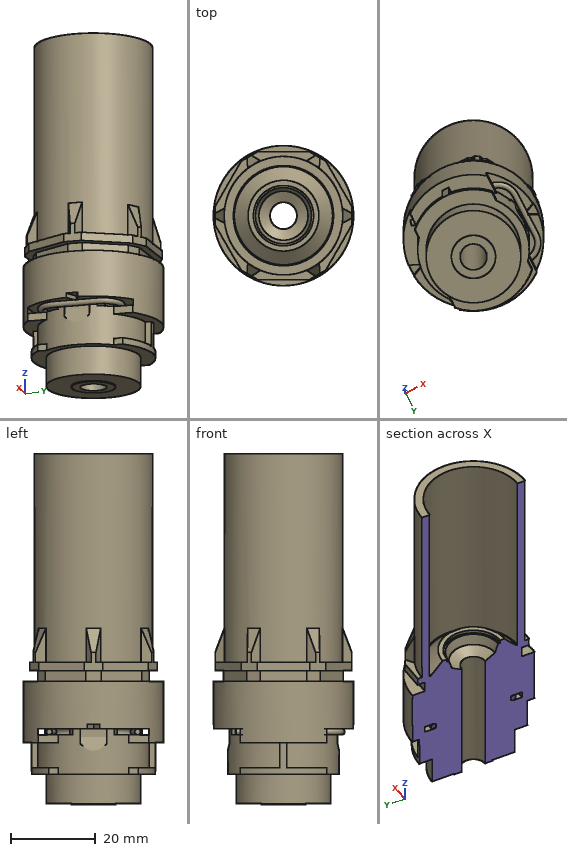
import cadquery as cq
import math

NOSE_Z = 0.25
BODY_Z = 7.1
FLANGE_TOP_Z = 8.7
LIP_Z = 14.6
SLOT_Z = 16.4
COLLAR_Z = 17.85
NECK_Z = 29.0
HEX_Z = 31.55
TUBE_Z = 33.5
TOP_Z = 82.6

PAD_R = 5.2
NOSE_R = 11.15
BODY_R = 13.1
FLANGE_R = 14.6
COLLAR_R = 16.5
TUBE_R = 14.0
TUBE_BORE_R = 11.8

NECK_FLAT, NECK_CORNER = 13.1, 14.1
HEX_FLAT, HEX_CORNER = 15.0, 16.1

SIDE_HALF_WIDTH = 10.2
RIB_WIDTH = 1.65

FIN_COUNT = 6
FIN_ROOT_WIDTH = 3.4
FIN_TIP_WIDTH = 1.15
FIN_SHOULDER_Z = 35.85
FIN_TOP_Z = 41.5

BORE_FLOOR_Z = 33.0
CONE_BASE_R = 11.6
CONE_TOP_R = 8.35
CONE_TOP_Z = 36.35
MOUTH_R = 7.1
MOUTH_DEPTH = 0.8
STEP_R = 6.6
FUNNEL_R = 5.8
FUNNEL_DEPTH = 2.5
FUNNEL_TIP_DEPTH = 1.5
HOLE_R = 3.1

POCKET_WIDTH = 6.2
POCKET_FLAT_X = 12.4
POCKET_FLAT_Z = 15.95
POCKET_END_Z = 12.7
NOTCH_WIDTH = 2.9
NOTCH_DEPTH = 3.3
NOTCH_TOP_Z = 18.9

WIRE_R = (COLLAR_Z - SLOT_Z) / 2
WIRE_Z = (COLLAR_Z + SLOT_Z) / 2
CLIP_R = 10.8
CLIP_ARC_HALF_ANGLE = math.radians(26)
CLIP_FLARE_ANGLE = math.radians(12)
CLIP_WAIST_R = 3.3
CLIP_TIP_X = 11.2
CLIP_BEND_X = 8.3
CLIP_BAR_X = 13.7
SLOT_HALF_WIDTH = 13.05
SLOT_END_OUTER_Y = 4.9
SLOT_END_INNER_Y = 5.6

OVERSHOOT = 0.8


def cylinder(radius, bottom, top):
    return cq.Workplane("XY", origin=(0, 0, bottom)).circle(radius).extrude(top - bottom)


def box(x_size, y_size, bottom, top):
    return cq.Workplane("XY", origin=(0, 0, bottom)).rect(x_size, y_size).extrude(top - bottom)


def hexagon(flat, bottom, top, start_angle):
    corner_radius = flat / math.cos(math.radians(30))
    shape = cq.Workplane("XY", origin=(0, 0, bottom)).polygon(6, 2 * corner_radius)
    return shape.extrude(top - bottom).rotate((0, 0, 0), (0, 0, 1), start_angle)


def cut_corner_hexagon(flat, corner, bottom, top):
    """Hexagon with flats on +Y and -Y, its corners cut by a hexagon turned 30 degrees."""
    return hexagon(flat, bottom, top, 0).intersect(hexagon(corner, bottom, top, 30))


def side_segments(radius, bottom, top):
    """Disc cut off at +X and -X."""
    return cylinder(radius, bottom, top).intersect(
        box(2 * SIDE_HALF_WIDTH, 2 * COLLAR_R + OVERSHOOT, bottom, top)
    )


def make_fin():
    """Tapered fin on the +X side with a sloped outer face."""
    root = FIN_ROOT_WIDTH / 2
    tip = FIN_TIP_WIDTH / 2
    buried_r = TUBE_BORE_R + OVERSHOOT
    plan = [(buried_r, -root), (TUBE_R, -root), (HEX_CORNER, -tip)]
    plan += [(x, -y) for x, y in reversed(plan)]
    fin = cq.Workplane("XY", origin=(0, 0, HEX_Z)).polyline(plan).close().extrude(FIN_TOP_Z - HEX_Z)
    side = [
        (buried_r, HEX_Z),
        (HEX_CORNER, HEX_Z),
        (HEX_CORNER, FIN_SHOULDER_Z),
        (TUBE_R, FIN_TOP_Z),
        (buried_r, FIN_TOP_Z),
    ]
    envelope = cq.Workplane("XZ").polyline(side).close().extrude(FIN_ROOT_WIDTH, both=True)
    return fin.intersect(envelope)


def make_inside():
    """Space inside the tube, around the raised cone and through the funnel to the hole."""
    mouth_floor_z = CONE_TOP_Z - MOUTH_DEPTH
    funnel_z = mouth_floor_z - FUNNEL_DEPTH
    hole_z = funnel_z - FUNNEL_TIP_DEPTH
    outline = [
        (0, -OVERSHOOT),
        (HOLE_R, -OVERSHOOT),
        (HOLE_R, hole_z),
        (FUNNEL_R, funnel_z),
        (STEP_R, mouth_floor_z),
        (MOUTH_R, mouth_floor_z),
        (MOUTH_R, CONE_TOP_Z),
        (CONE_TOP_R, CONE_TOP_Z),
        (CONE_BASE_R, BORE_FLOOR_Z),
        (TUBE_BORE_R, BORE_FLOOR_Z),
        (TUBE_BORE_R, TOP_Z + OVERSHOOT),
        (0, TOP_Z + OVERSHOOT),
    ]
    return cq.Workplane("XZ").polyline(outline).close().revolve(360, (0, 0, 0), (0, 1, 0))


def make_pocket():
    """Latch pocket on the +X side: an upright flat that runs out along a slope."""
    outer_x = BODY_R + OVERSHOOT
    outline = [
        (POCKET_FLAT_X, COLLAR_Z),
        (POCKET_FLAT_X, POCKET_FLAT_Z),
        (BODY_R, POCKET_END_Z),
        (outer_x, POCKET_END_Z),
        (outer_x, COLLAR_Z),
    ]
    return cq.Workplane("XZ").polyline(outline).close().extrude(POCKET_WIDTH / 2, both=True)


def make_notch():
    """V-shaped notch in the bottom edge of the collar on the +X side."""
    half = NOTCH_WIDTH / 2
    rim_x = math.sqrt(COLLAR_R**2 - half**2)
    outer_x = COLLAR_R + OVERSHOOT
    outline = [(COLLAR_R - NOTCH_DEPTH, 0), (rim_x, half), (outer_x, half), (outer_x, -half), (rim_x, -half)]
    notch = cq.Workplane("XY", origin=(0, 0, COLLAR_Z)).polyline(outline).close()
    return notch.extrude(NOTCH_TOP_Z - COLLAR_Z)


def make_slot():
    """Slot below the collar, leaving a core with a rounded groove floor and two end webs."""
    slot = box(2 * COLLAR_R + OVERSHOOT, 2 * SLOT_HALF_WIDTH, SLOT_Z, COLLAR_Z)
    core = cylinder(CLIP_R, SLOT_Z, COLLAR_Z)
    groove = cq.Workplane("XZ").center(CLIP_R, WIRE_Z).circle(WIRE_R)
    core = core.cut(groove.revolve(360, (-CLIP_R, 0, 0), (-CLIP_R, 1, 0)))

    outer_x = math.sqrt(BODY_R**2 - SLOT_END_OUTER_Y**2)
    inner_x = math.sqrt((CLIP_R - WIRE_R) ** 2 - SLOT_END_INNER_Y**2)
    half = [
        (0, SLOT_END_INNER_Y),
        (inner_x, SLOT_END_INNER_Y),
        (outer_x, SLOT_END_OUTER_Y),
        (COLLAR_R, SLOT_END_OUTER_Y),
    ]
    half += [(x, -y) for x, y in reversed(half)]
    web = cq.Workplane("XY", origin=(0, 0, SLOT_Z)).polyline(half).close().extrude(COLLAR_Z - SLOT_Z)
    webs = web.union(web.mirror("YZ")).intersect(cylinder(BODY_R, SLOT_Z, COLLAR_Z))
    return slot.cut(core).cut(webs)


def make_housing():
    housing = cylinder(PAD_R, 0, NOSE_Z)
    housing = housing.union(cylinder(NOSE_R, NOSE_Z, BODY_Z))
    housing = housing.union(cylinder(BODY_R, BODY_Z, COLLAR_Z))
    housing = housing.union(cylinder(COLLAR_R, COLLAR_Z, NECK_Z))
    housing = housing.union(cut_corner_hexagon(NECK_FLAT, NECK_CORNER, NECK_Z, HEX_Z))
    housing = housing.union(cut_corner_hexagon(HEX_FLAT, HEX_CORNER, HEX_Z, TUBE_Z))
    housing = housing.union(cylinder(TUBE_R, TUBE_Z, TOP_Z))

    rib = cylinder(FLANGE_R, BODY_Z, LIP_Z).intersect(box(RIB_WIDTH, 2 * COLLAR_R, BODY_Z, LIP_Z))
    housing = housing.union(side_segments(FLANGE_R, BODY_Z, FLANGE_TOP_Z))
    housing = housing.union(rib)
    housing = housing.union(side_segments(COLLAR_R, LIP_Z, COLLAR_Z))

    fin = make_fin()
    for index in range(FIN_COUNT):
        housing = housing.union(fin.rotate((0, 0, 0), (0, 0, 1), index * 360 / FIN_COUNT))

    for side_cut in (make_pocket(), make_notch()):
        housing = housing.cut(side_cut).cut(side_cut.mirror("YZ"))
    return housing.cut(make_slot()).cut(make_inside())


def point_on_arc(centre, radius, angle):
    """Point at an angle measured from +Y towards +X."""
    return (centre[0] + radius * math.sin(angle), centre[1] + radius * math.cos(angle))


def make_clip():
    """Round wire: two waisted legs with flared tips at -X, joined by a bend and a bar at +X."""
    groove_end = point_on_arc((0, 0), CLIP_R, CLIP_ARC_HALF_ANGLE)
    waist_centre = point_on_arc((0, 0), CLIP_R + CLIP_WAIST_R, CLIP_ARC_HALF_ANGLE)
    waist_end_angle = math.pi - CLIP_FLARE_ANGLE
    waist_start_angle = math.pi + CLIP_ARC_HALF_ANGLE
    waist_middle = point_on_arc(waist_centre, CLIP_WAIST_R, (waist_start_angle + waist_end_angle) / 2)
    waist_end = point_on_arc(waist_centre, CLIP_WAIST_R, waist_end_angle)
    slope = math.tan(CLIP_FLARE_ANGLE)
    tip = (CLIP_TIP_X, waist_end[1] + slope * (CLIP_TIP_X - waist_end[0]))

    bend_start = (CLIP_BEND_X, waist_end[1] + slope * (CLIP_BEND_X - waist_end[0]))
    bend_r = (CLIP_BAR_X - CLIP_BEND_X) / (1 + math.sin(CLIP_FLARE_ANGLE))
    bend_centre = (CLIP_BAR_X - bend_r, bend_start[1] - bend_r * math.cos(CLIP_FLARE_ANGLE))
    bend_middle = point_on_arc(bend_centre, bend_r, (math.pi / 2 - CLIP_FLARE_ANGLE) / 2)

    def at(point, x_side, y_side):
        return (x_side * point[0], y_side * point[1])

    path = (
        cq.Workplane("XY", origin=(0, 0, WIRE_Z))
        .moveTo(*at(tip, -1, 1))
        .lineTo(*at(waist_end, -1, 1))
        .threePointArc(at(waist_middle, -1, 1), at(groove_end, -1, 1))
        .threePointArc((0, CLIP_R), groove_end)
        .threePointArc(waist_middle, waist_end)
        .lineTo(*bend_start)
        .threePointArc(bend_middle, (CLIP_BAR_X, bend_centre[1]))
        .lineTo(CLIP_BAR_X, -bend_centre[1])
        .threePointArc(at(bend_middle, 1, -1), at(bend_start, 1, -1))
        .lineTo(*at(waist_end, 1, -1))
        .threePointArc(at(waist_middle, 1, -1), at(groove_end, 1, -1))
        .threePointArc((0, -CLIP_R), at(groove_end, -1, -1))
        .threePointArc(at(waist_middle, -1, -1), at(waist_end, -1, -1))
        .lineTo(*at(tip, -1, -1))
    )
    tip_plane = cq.Plane(
        origin=(-tip[0], tip[1], WIRE_Z),
        xDir=(0, 0, 1),
        normal=(math.cos(CLIP_FLARE_ANGLE), -math.sin(CLIP_FLARE_ANGLE), 0),
    )
    return cq.Workplane(tip_plane).circle(WIRE_R).sweep(path)


housing = make_housing()
clip = make_clip()

result = cq.Compound.makeCompound([housing.solids().val(), clip.val()])